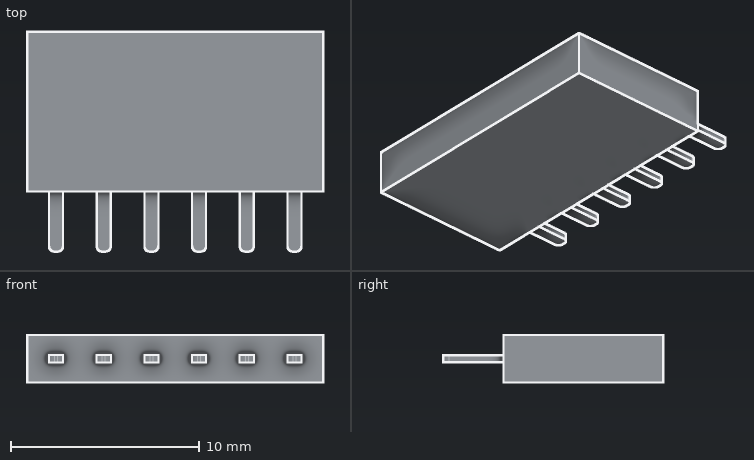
import cadquery as cq

body_length = 15.74
body_depth = 8.5
body_height = 2.53

pin_count = 6
pin_pitch = 2.53
pin_reach = 3.2
pin_width = 0.75
pin_thickness = 0.4
tip_radius = 0.3


def make_housing():
    """Plain block whose pin face lies on Y = 0, centred on X and Z."""
    return cq.Workplane("XY").box(
        body_length, body_depth, body_height, centered=(True, False, True)
    )


def make_pin(x):
    """Flat pin at x, reaching toward -Y, with both tip corners rounded."""
    pin = (
        cq.Workplane("XY")
        .box(pin_width, pin_reach, pin_thickness, centered=(True, False, True))
        .edges("|Z and <Y")
        .fillet(tip_radius)
    )
    return pin.translate((x, -pin_reach, 0))


result = make_housing()
for index in range(pin_count):
    offset_from_middle = index - (pin_count - 1) / 2
    result = result.union(make_pin(offset_from_middle * pin_pitch))